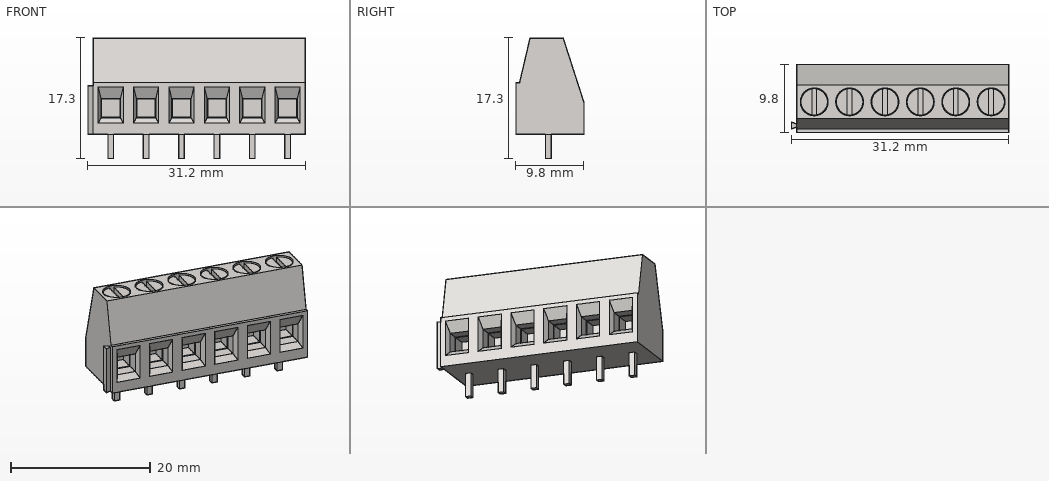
import cadquery as cq

pole_count = 6
pitch = 5.08
housing_length = pole_count * pitch

housing_depth = 9.8
housing_height = 13.8
ledge_depth = 0.5
ledge_height = 7.4
top_front_y = 2.0
top_back_y = 6.8
back_wall_height = 4.5
top_center_y = (top_front_y + top_back_y) / 2

well_diameter = 4.0
screw_diameter = 3.8
well_depth = 3.0
screw_recess = 0.2
slot_width = 0.7
slot_depth = 0.8

funnel_width = 3.6
funnel_bottom_z = 1.6
funnel_top_z = 6.8
funnel_depth = 0.85
throat_size = 2.8
throat_end_y = 2.7
throat_center_z = 3.75
chamber_size = 2.6
chamber_end_y = 5.0

pin_size = 0.85
pin_length = 3.5
pin_center_y = 4.65

rail_length = 0.74
rail_height = 7.0
rail_center_y = 1.0
rail_root_width = 0.5
rail_tip_width = 1.0

pole_positions = [(index + 0.5) * pitch for index in range(pole_count)]


def make_housing():
    """Sloped housing profile, extruded along the terminal row."""
    profile = [
        (0, 0),
        (housing_depth, 0),
        (housing_depth, back_wall_height),
        (top_back_y, housing_height),
        (top_front_y, housing_height),
        (ledge_depth, ledge_height),
        (0, ledge_height),
    ]
    return cq.Workplane("YZ").polyline(profile).close().extrude(housing_length)


def make_rail():
    """Dovetail rail that widens away from the housing end."""
    root = rail_root_width / 2
    tip = rail_tip_width / 2
    section = [
        (0, rail_center_y - root),
        (0, rail_center_y + root),
        (-rail_length, rail_center_y + tip),
        (-rail_length, rail_center_y - tip),
    ]
    return cq.Workplane("XY").polyline(section).close().extrude(rail_height)


def make_square_bore(x, size, start_y, end_y):
    """Square prism along Y, centered on the wire entry at x."""
    return (
        cq.Workplane("XZ", origin=(x, start_y, throat_center_z))
        .rect(size, size)
        .extrude(start_y - end_y)
    )


def make_wire_entry(x):
    """Cutter for one funnel with the throat and chamber behind it."""
    funnel_center_z = (funnel_bottom_z + funnel_top_z) / 2
    funnel_height = funnel_top_z - funnel_bottom_z
    funnel = (
        cq.Workplane("XZ")
        .center(x, funnel_center_z)
        .rect(funnel_width, funnel_height)
        .workplane(offset=-funnel_depth)
        .center(0, throat_center_z - funnel_center_z)
        .rect(throat_size, throat_size)
        .loft(ruled=True)
    )
    throat = make_square_bore(x, throat_size, funnel_depth, throat_end_y)
    chamber = make_square_bore(x, chamber_size, throat_end_y, chamber_end_y)
    return funnel.union(throat).union(chamber)


def make_screw_well(x):
    """Cutter for the round well above one screw."""
    well_floor = housing_height - well_depth
    return (
        cq.Workplane("XY", origin=(x, top_center_y, well_floor))
        .circle(well_diameter / 2)
        .extrude(well_depth)
    )


def make_screw(x):
    """Slotted screw standing on the floor of its well."""
    well_floor = housing_height - well_depth
    screw_top = housing_height - screw_recess
    screw = (
        cq.Workplane("XY", origin=(x, top_center_y, well_floor))
        .circle(screw_diameter / 2)
        .extrude(screw_top - well_floor)
    )
    slot = (
        cq.Workplane("XY", origin=(x, top_center_y, screw_top - slot_depth))
        .rect(slot_width, screw_diameter)
        .extrude(slot_depth)
    )
    return screw.cut(slot)


def make_pin(x):
    """Square solder pin below the housing."""
    return (
        cq.Workplane("XY", origin=(x, pin_center_y, 0))
        .rect(pin_size, pin_size)
        .extrude(-pin_length)
    )


result = make_housing().union(make_rail())
for pole_x in pole_positions:
    result = result.cut(make_wire_entry(pole_x))
    result = result.cut(make_screw_well(pole_x))
    result = result.union(make_screw(pole_x))
    result = result.union(make_pin(pole_x))